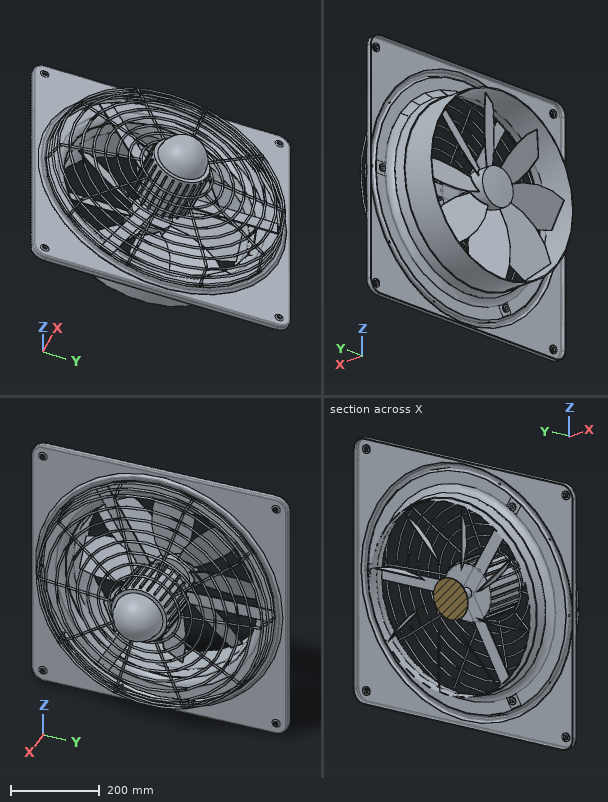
import cadquery as cq
import math


plate_side = 630.0
plate_back = 123.0
rim_depth = 15.0
sheet = 2.5
corner_radius = 31.5
bend_radius = 4.5
plate_front = plate_back - sheet

duct_radius = 230.0
duct_length = 82.5
sleeve_radius = 232.5
flare_radius = 254.5
flare_bend = 19.0
flare_neck_end = 108.5

groove_outer_radius = 303.0
groove_inner_radius = 285.0
bead_wall_shift = 0.5
bead_height = 8.0
bead_slope = 5.5
bead_fillet = 2.5

collar_height = 3.0
corner_hole_offset = 286.0
corner_hole_radius = 5.5
corner_collar_radius = 10.0
screw_circle_radius = 265.0
screw_hole_radius = 4.0
screw_collar_radius = 9.0

strut_count = 3
strut_width = 31.5
strut_thickness = 3.0
strut_length = screw_circle_radius + strut_width / 2

motor_radius = 68.5
motor_end = 240.0
dome_radius = 59.0
fin_count = 24
fin_radius = 73.0
fin_embedding = 3.0
fin_foot_radius = motor_radius - fin_embedding
fin_thickness = 4.5
fin_end = 233.0
fin_chamfer = 3.0
shaft_radius = 12.5

hub_radius = 50.0
hub_front = 14.0
hub_end = 63.0
hub_dome_height = 3.0
blade_count = 8
blade_pitch = 32.0
blade_thickness = 2.0
blade_center = 41.5
blade_root_radius = 41.0
blade_tip_radius = 222.0
blade_belly_radius = 138.5
blade_root_chord = 46.0
blade_belly_chord = 99.0
blade_tip_chord = 74.5

wire_radius = 2.5
wire_offset = 2.5
spoke_count = 10
spoke_foot = (128.0, 286.0)
spoke_bend = (181.5, 272.0)
spoke_tip = (206.5, 84.5)
side_ring_places = (136.0, 155.5, 176.5)
front_ring_count = 7
front_ring_outer_radius = 251.5
front_ring_pitch = 27.4


def disc(radius, start, end):
    return cq.Workplane("YZ", origin=(start, 0, 0)).circle(radius).extrude(end - start)


def around_axis(shape, count):
    return [shape.rotate((0, 0, 0), (1, 0, 0), 360.0 * i / count) for i in range(count)]


def spin(profile):
    return profile.close().revolve(360, (0, 0, 0), (1, 0, 0))


def join(base, pieces):
    return cq.Workplane(base.val().fuse(*[piece.val() for piece in pieces]))


def make_plate():
    rim_front = plate_back - rim_depth
    inner_side = plate_side - 2 * sheet
    tray = (
        cq.Workplane("YZ", origin=(rim_front, 0, 0))
        .rect(plate_side, plate_side)
        .extrude(rim_depth)
        .edges("|X")
        .fillet(corner_radius)
        .faces(">X")
        .edges()
        .fillet(bend_radius)
    )
    recess = (
        cq.Workplane("YZ", origin=(rim_front, 0, 0))
        .rect(inner_side, inner_side)
        .extrude(rim_depth - sheet)
        .edges("|X")
        .fillet(corner_radius - sheet)
        .faces(">X")
        .edges()
        .fillet(bend_radius - sheet)
    )
    opening = disc(flare_radius, rim_front, plate_back)
    return tray.cut(recess).cut(opening)


def bead_outline(start, outer_radius, inner_radius):
    end = start + bead_height
    return spin(
        cq.Workplane("XY")
        .moveTo(start, outer_radius)
        .lineTo(end, outer_radius - bead_slope)
        .lineTo(end, inner_radius + bead_slope)
        .lineTo(start, inner_radius)
    ).faces(">X").edges().fillet(bead_fillet)


def flare_points(bend):
    """Start, middle and end of a flare arc that ends at the flare radius, square to the axis."""
    center = plate_front - flare_bend
    start_angle = math.asin((flare_neck_end - center) / bend)
    angles = (start_angle, (start_angle + math.pi / 2) / 2, math.pi / 2)
    return [(center + bend * math.sin(a), flare_radius - bend * math.cos(a)) for a in angles]


def make_duct():
    outer_start, outer_middle, outer_end = flare_points(flare_bend)
    inner_start, inner_middle, inner_end = flare_points(flare_bend + sheet)
    return spin(
        cq.Workplane("XY")
        .moveTo(0, duct_radius - sheet)
        .lineTo(0, duct_radius)
        .lineTo(duct_length, duct_radius)
        .lineTo(duct_length, sleeve_radius)
        .lineTo(*outer_start)
        .threePointArc(outer_middle, outer_end)
        .lineTo(*inner_end)
        .threePointArc(inner_middle, inner_start)
        .lineTo(duct_length, duct_radius - sheet)
    )


def hole_places():
    corners = [
        (y * corner_hole_offset, z * corner_hole_offset, corner_collar_radius, corner_hole_radius)
        for y in (-1, 1)
        for z in (-1, 1)
    ]
    screws = []
    for i in range(strut_count):
        angle = 2 * math.pi * i / strut_count
        y = screw_circle_radius * math.cos(angle)
        z = screw_circle_radius * math.sin(angle)
        screws.append((y, z, screw_collar_radius, screw_hole_radius))
    return corners + screws


def make_housing():
    housing = make_plate().union(make_duct())
    bead = bead_outline(
        plate_back, groove_outer_radius + bead_wall_shift, groove_inner_radius - bead_wall_shift
    )
    groove = bead_outline(plate_front, groove_outer_radius, groove_inner_radius)
    housing = housing.union(bead).cut(groove)
    collar_front = plate_front - collar_height
    for y, z, collar_radius, hole_radius in hole_places():
        collar = disc(collar_radius, collar_front, plate_back).translate((0, y, z))
        hole = disc(hole_radius, collar_front, plate_back).translate((0, y, z))
        housing = housing.union(collar).cut(hole)
    return housing


def make_struts():
    strut = cq.Workplane("XY").box(
        strut_thickness, strut_length, strut_width, centered=(False, False, True)
    )
    return around_axis(strut.translate((plate_back, 0, 0)), strut_count)


def make_motor():
    diagonal = dome_radius * math.sqrt(0.5)
    body = spin(
        cq.Workplane("XY")
        .moveTo(hub_end, 0)
        .lineTo(hub_end, shaft_radius)
        .lineTo(plate_back, shaft_radius)
        .lineTo(plate_back, motor_radius)
        .lineTo(motor_end, motor_radius)
        .lineTo(motor_end, dome_radius)
        .threePointArc((motor_end + diagonal, diagonal), (motor_end + dome_radius, 0))
    )
    fin_length = fin_end - plate_back
    fin_height = fin_radius - fin_foot_radius
    fin = (
        cq.Workplane("XY")
        .box(fin_length, fin_height, fin_thickness, centered=(False, False, True))
        .edges(">X and >Y")
        .chamfer(fin_chamfer)
        .translate((plate_back, fin_foot_radius, 0))
    )
    return join(body, around_axis(fin, fin_count))


def make_impeller():
    hub = spin(
        cq.Workplane("XY")
        .moveTo(hub_front - hub_dome_height, 0)
        .lineTo(hub_front, hub_radius)
        .lineTo(hub_end, hub_radius)
        .lineTo(hub_end, 0)
    )
    blade = (
        cq.Workplane("YZ")
        .moveTo(-blade_root_chord / 2, blade_root_radius)
        .threePointArc(
            (-blade_belly_chord / 2, blade_belly_radius), (-blade_tip_chord / 2, blade_tip_radius)
        )
        .lineTo(blade_tip_chord / 2, blade_tip_radius)
        .threePointArc(
            (blade_belly_chord / 2, blade_belly_radius), (blade_root_chord / 2, blade_root_radius)
        )
        .close()
        .extrude(blade_thickness / 2, both=True)
        .rotate((0, 0, 0), (0, 0, 1), blade_pitch)
        .translate((blade_center, 0, 0))
    )
    return join(hub, around_axis(blade, blade_count))


def wire_ring(x, radius):
    return cq.Workplane(cq.Solid.makeTorus(radius, wire_radius, cq.Vector(x, 0, 0), cq.Vector(1, 0, 0)))


def make_rings():
    side_slope = (spoke_bend[1] - spoke_foot[1]) / (spoke_bend[0] - spoke_foot[0])
    front_slope = (spoke_tip[0] - spoke_bend[0]) / (spoke_tip[1] - spoke_bend[1])
    rings = []
    for x in side_ring_places:
        spoke_radius = spoke_foot[1] + side_slope * (x - spoke_foot[0])
        rings.append(wire_ring(x, spoke_radius + wire_offset))
    for i in range(front_ring_count):
        radius = front_ring_outer_radius - i * front_ring_pitch
        spoke_x = spoke_bend[0] + front_slope * (radius - spoke_bend[1])
        rings.append(wire_ring(spoke_x + wire_offset, radius))
    return rings


def make_spokes():
    path = cq.Workplane("XY").polyline([spoke_foot, spoke_bend, spoke_tip])
    spoke = (
        cq.Workplane("YZ", origin=(spoke_foot[0], spoke_foot[1], 0))
        .circle(wire_radius)
        .sweep(path, transition="round")
    )
    return around_axis(spoke, spoke_count)


spokes = make_spokes()
guard = join(spokes[0], spokes[1:] + make_rings())
machine = join(make_housing(), make_struts() + [make_motor(), make_impeller()])
result = cq.Workplane(join(machine, [guard]).solids().val())